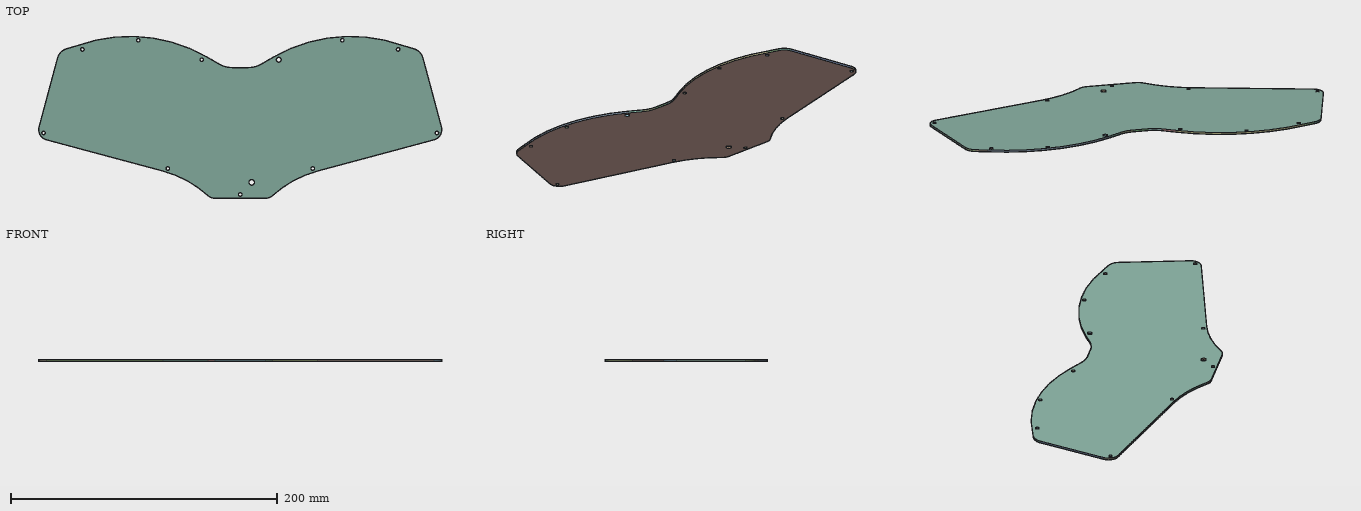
import cadquery as cq
import math

THICKNESS = 1.6
HALF_WIDTH = 302.69 / 2
DEPTH = 121.66

WING_ANGLE = math.radians(15)
LOWER_CORNER_RADIUS = 8.0
UPPER_CORNER_RADIUS = 10.0
WING_LENGTH = 98.4
WING_SIDE_LENGTH = 67.1
LOWER_CORNER_Y = 45.9

FRONT_CURVE_RADIUS = 82.0
FRONT_CORNER_RADIUS = 8.0

CROWN_CENTRE_X = 82.8
CROWN_RADIUS = 115.5
CROWN_CENTRE_Y = DEPTH - CROWN_RADIUS
CROWN_OUTER_X = 122.0
SADDLE_Y = 98.2
SADDLE_SLOPE = math.radians(30)
SADDLE_RADIUS = 20.0

SCREW_DIAMETER = 2.5
MIRRORED_SCREWS = [(54.4, 22.4), (147.6, 49.1), (118.5, 111.8), (76.6, 118.7)]
CENTRE_SCREW = (0.0, 2.9)
REAR_HOLE = (28.9, 104.0)
REAR_LARGE_DIAMETER = 3.5
FRONT_HOLE = (8.6, 12.0)
FRONT_HOLE_DIAMETER = 4.0


def polar(centre, radius, angle):
    """Point at the given distance and angle from a centre."""
    return (centre[0] + radius * math.cos(angle), centre[1] + radius * math.sin(angle))


def circle_arc(centre, radius, start, end):
    """Middle and end points of an arc between two angles."""
    return polar(centre, radius, (start + end) / 2), polar(centre, radius, end)


def half_plate():
    """The +X half of the plate, with its corners rounded."""
    corner_overhang = LOWER_CORNER_RADIUS * (math.cos(WING_ANGLE) + math.sin(WING_ANGLE) - 1)
    lower_corner = (HALF_WIDTH + corner_overhang, LOWER_CORNER_Y)
    upper_corner = polar(lower_corner, WING_SIDE_LENGTH, WING_ANGLE + math.pi / 2)

    wing_start = polar(lower_corner, -WING_LENGTH, WING_ANGLE)
    front_centre = polar(wing_start, FRONT_CURVE_RADIUS, WING_ANGLE - math.pi / 2)
    front_start_angle = math.pi - math.asin(-front_centre[1] / FRONT_CURVE_RADIUS)
    front_corner = polar(front_centre, FRONT_CURVE_RADIUS, front_start_angle)
    front_arc = circle_arc(
        front_centre, FRONT_CURVE_RADIUS, front_start_angle, WING_ANGLE + math.pi / 2
    )

    crown_centre = (CROWN_CENTRE_X, CROWN_CENTRE_Y)
    crown_start_angle = math.acos((CROWN_OUTER_X - CROWN_CENTRE_X) / CROWN_RADIUS)
    crown_start = polar(crown_centre, CROWN_RADIUS, crown_start_angle)
    crown_arc = circle_arc(
        crown_centre, CROWN_RADIUS, crown_start_angle, SADDLE_SLOPE + math.pi / 2
    )
    crown_end = crown_arc[1]
    saddle_corner = (crown_end[0] - (crown_end[1] - SADDLE_Y) / math.tan(SADDLE_SLOPE), SADDLE_Y)

    half = (
        cq.Workplane("XY")
        .lineTo(*front_corner)
        .threePointArc(*front_arc)
        .lineTo(*lower_corner)
        .lineTo(*upper_corner)
        .lineTo(*crown_start)
        .threePointArc(*crown_arc)
        .lineTo(*saddle_corner)
        .lineTo(0, SADDLE_Y)
        .close()
        .extrude(THICKNESS)
    )
    roundings = [
        (front_corner, FRONT_CORNER_RADIUS),
        (lower_corner, LOWER_CORNER_RADIUS),
        (upper_corner, UPPER_CORNER_RADIUS),
        (saddle_corner, SADDLE_RADIUS),
    ]
    for corner, radius in roundings:
        edge = cq.selectors.NearestToPointSelector((*corner, THICKNESS / 2))
        half = half.edges("|Z").edges(edge).fillet(radius)
    return half


def drill(plate, points, diameter):
    """Cut round through holes at the given points."""
    holes = cq.Workplane("XY").pushPoints(points).circle(diameter / 2).extrude(THICKNESS)
    return plate.cut(holes)


def mirrored(point):
    """The same point on the -X wing."""
    return (-point[0], point[1])


half = half_plate()
plate = half.union(half.mirror("YZ")).clean()

screws = MIRRORED_SCREWS + [mirrored(point) for point in MIRRORED_SCREWS]
plate = drill(plate, screws + [CENTRE_SCREW, mirrored(REAR_HOLE)], SCREW_DIAMETER)
plate = drill(plate, [REAR_HOLE], REAR_LARGE_DIAMETER)
result = drill(plate, [FRONT_HOLE], FRONT_HOLE_DIAMETER)